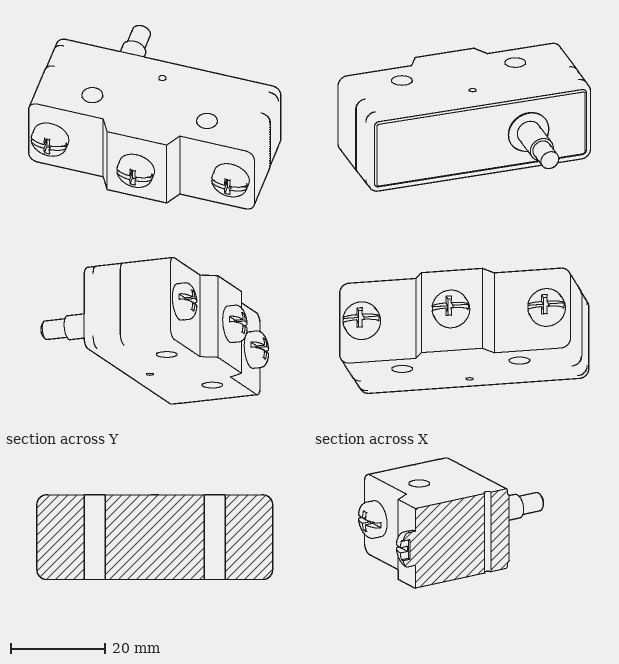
import cadquery as cq
import math


base_length = 50.0
thickness = 18.0
corner_radius = 2.1
upper_inset = 0.15
base_top = 11.5
cover_start = 17.75
cover_top = 20.0
cover_edge_radius = 0.5

plate_length = 47.5
plate_width = 15.5
plate_height = 0.45
plate_corner_radius = 1.0
plate_bevel = 0.4

block_height = 3.3
block_root_length = 17.0
block_flank_angle = 30.0

mount_hole_diameter = 4.4
mount_hole_spacing = 25.4
mount_hole_y = 5.9
pin_hole_diameter = 1.5
pin_hole_y = 15.0

screw_spacing = 20.0
head_diameter = 7.8
head_height = 3.35
head_rim_height = 1.8
slot_width = 1.15
long_slot_floor = 1.5
short_slot_floor = 1.3
short_slot_length = 4.3

plunger_x = -10.6
washer_diameter = 9.0
washer_top = 20.75
collar_diameter = 5.15
collar_top = 29.2
rod_diameter = 4.0
rod_shoulder = 34.45
rod_tip = 35.4


def rounded_block(length, width, radius, y_start, y_end):
    """Block with rounded corners, running along Y from y_start to y_end."""
    return (
        cq.Workplane("XZ", origin=(0, y_start, 0))
        .rect(length, width)
        .extrude(y_start - y_end)
        .edges("|Y")
        .fillet(radius)
    )


def terminal_block():
    root = block_root_length / 2
    crest = root - block_height * math.tan(math.radians(block_flank_angle))
    return (
        cq.Workplane("XY", origin=(0, 0, -thickness / 2))
        .polyline([(-root, 0), (root, 0), (crest, -block_height), (-crest, -block_height)])
        .close()
        .extrude(thickness)
    )


def through_hole(x, y, diameter):
    return cq.Workplane("XY", origin=(x, y, -thickness / 2)).circle(diameter / 2).extrude(thickness)


def screw_head(x, seat_y):
    """Elliptically domed head with a full-width slot along X crossed by a short slot along Z."""
    radius = head_diameter / 2
    dome_rise = head_height - head_rim_height
    head = (
        cq.Workplane("XY")
        .lineTo(radius, 0)
        .lineTo(radius, -head_rim_height)
        .ellipseArc(radius, dome_rise, -90, 0, sense=-1, startAtCurrent=True)
        .close()
        .revolve(360, (0, 0, 0), (0, 1, 0))
    )
    long_slot = cq.Workplane("XY").box(head_diameter, head_height, slot_width)
    short_slot = cq.Workplane("XY").box(slot_width, head_height, short_slot_length)
    head = head.cut(long_slot.translate((0, -long_slot_floor - head_height / 2, 0)))
    head = head.cut(short_slot.translate((0, -short_slot_floor - head_height / 2, 0)))
    return head.translate((x, seat_y, 0))


def plunger():
    rod_radius = rod_diameter / 2
    dome_height = rod_tip - rod_shoulder
    dome_radius = (rod_radius**2 + dome_height**2) / (2 * dome_height)
    mid_drop = dome_radius - math.sqrt(dome_radius**2 - (rod_radius / 2) ** 2)
    return (
        cq.Workplane("XY")
        .moveTo(0, cover_top)
        .lineTo(washer_diameter / 2, cover_top)
        .lineTo(washer_diameter / 2, washer_top)
        .lineTo(collar_diameter / 2, washer_top)
        .lineTo(collar_diameter / 2, collar_top)
        .lineTo(rod_radius, collar_top)
        .lineTo(rod_radius, rod_shoulder)
        .threePointArc((rod_radius / 2, rod_tip - mid_drop), (0, rod_tip))
        .close()
        .revolve(360, (0, 0, 0), (0, 1, 0))
        .translate((plunger_x, 0, 0))
    )


upper_length = base_length - 2 * upper_inset
upper_corner_radius = corner_radius - upper_inset
base = rounded_block(base_length, thickness, corner_radius, 0, base_top)
upper = rounded_block(upper_length, thickness, upper_corner_radius, base_top, cover_start)
cover = rounded_block(upper_length, thickness, corner_radius, cover_start, cover_top)
cover = cover.faces(">Y").edges().fillet(cover_edge_radius)
plate = rounded_block(plate_length, plate_width, plate_corner_radius, cover_top, cover_top + plate_height)
plate = plate.faces(">Y").edges().chamfer(plate_bevel)
result = base.union(upper).union(cover).union(plate).union(terminal_block())

for side in (-1, 1):
    result = result.cut(through_hole(side * mount_hole_spacing / 2, mount_hole_y, mount_hole_diameter))
result = result.cut(through_hole(0, pin_hole_y, pin_hole_diameter))

for x, seat_y in ((-screw_spacing, 0), (0, -block_height), (screw_spacing, 0)):
    result = result.union(screw_head(x, seat_y))

result = result.union(plunger())